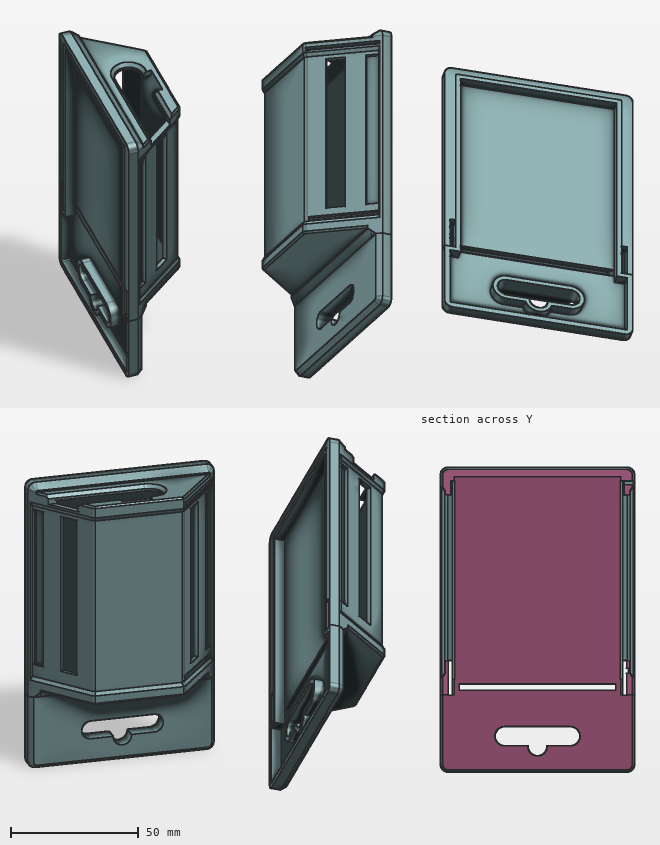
import cadquery as cq
import math


PLATE_WIDTH = 76.0
PLATE_HEIGHT = 119.4
PLATE_CORNER_RADIUS = 3.1
PLATE_EDGE = 3.9
PLATE_THICKNESS = 7.0
WALL = 1.9

BOX_DEPTH = 29.0
BOX_REAR_HALF = 18.5
BOX_BOTTOM = 33.3
BOX_TOP = 116.3
EDGE_CHAMFER = 0.7
REAR_CORNER_DEPTH = 0.8
REAR_CORNER_WIDTH = 1.1
CAVITY_BOTTOM = 36.4
CAVITY_TOP = 113.9
SLOPE = (PLATE_WIDTH / 2 - BOX_REAR_HALF) / (BOX_DEPTH - PLATE_EDGE)
NORMAL_LENGTH = math.hypot(1, SLOPE)

WAIST_DEPTH = 0.78
WAIST_CHAMFER = 1.5
WAIST_BOTTOM = 37.1
WAIST_TOP = 111.6
WAIST_FRONT = 4.8
CAVITY_INSET = WAIST_DEPTH + WALL
CAVITY_REAR = BOX_DEPTH - CAVITY_INSET

WINDOW_BOTTOM = 43.7
WINDOW_TOP = 108.5
WINDOW_FRONT = 15.4
WINDOW_REAR = 21.6
POCKET_REAR = 8.8
POCKET_DEPTH = 1.5
UPPER_SLIT_HEIGHT = 1.3
UPPER_SLIT_REAR = 28.2
LOWER_SLIT_BOTTOM = 38.8
LOWER_SLIT_TOP = 39.8
REBATE_TOP = 40.6
REBATE_REAR = 27.0

MOUTH_Y = 17.3
MOUTH_END_X = -7.3
MOUTH_RADIUS = 5.6
MOUTH_CHAMFER = 1.4
MOUTH_FLOOR = 112.6
NOTCH_HALF = 6.1

LID_THICKNESS = 6.1
LID_POCKET = 4.0
LID_BEVEL = LID_THICKNESS - PLATE_EDGE
LID_HALF = 33.4
LID_TOP = 116.6
SHOULDER = 30.2
FOOT_TOP = 32.7
LOWER_RIM = 2.3
LOWER_RIM_CHAMFER = 0.5
INNER_RADIUS = 0.6
STEP_Z = SHOULDER - WALL
LATCH_TOP = 43.7
LATCH_HALF = PLATE_WIDTH / 2 - LOWER_RIM
VENT_BOTTOM = 31.3
VENT_TOP = 34.5

HANGER_Z = 14.1
HANGER_HALF_SPAN = 12.9
HANGER_RADIUS = 3.7
HANGER_NOTCH_Z = 10.1


def block(x0, x1, y0, y1, z0, z1):
    """Box between two opposite corners."""
    return cq.Workplane("XY").box(x1 - x0, y1 - y0, z1 - z0, centered=False).translate((x0, y0, z0))


def front_sketch(y=0.0):
    """Workplane at depth y with axes X and Z; a negative extrusion runs toward the back."""
    return cq.Workplane("XZ", origin=(0, y, 0))


def half_width(y, inset=0.0):
    """Half width of the box at depth y, with the sloped walls moved inward by inset."""
    return PLATE_WIDTH / 2 - SLOPE * (y - PLATE_EDGE) - inset * NORMAL_LENGTH


def trapezoid(inset, y_front):
    """Corner points of the box section, inset from its sloped walls and back, rear corners trimmed."""
    y_rear = BOX_DEPTH - inset
    y_corner = y_rear - REAR_CORNER_DEPTH
    front = half_width(y_front, inset)
    corner = half_width(y_corner, inset)
    rear = corner - REAR_CORNER_WIDTH
    return [
        (-front, y_front), (front, y_front), (corner, y_corner),
        (rear, y_rear), (-rear, y_rear), (-corner, y_corner),
    ]


def prism(inset, y_front, z0, z1):
    """Straight length of box section from z0 to z1."""
    return cq.Workplane("XY", origin=(0, 0, z0)).polyline(trapezoid(inset, y_front)).close().extrude(z1 - z0)


def flare(inset_low, inset_high, y_front, z0, z1):
    """Transition between two box sections."""
    return (
        cq.Workplane("XY", origin=(0, 0, z0))
        .polyline(trapezoid(inset_low, y_front)).close()
        .workplane(offset=z1 - z0)
        .polyline(trapezoid(inset_high, y_front)).close()
        .loft(ruled=True)
    )


def waisted_prism():
    """Outer shape of the box, with the waist between its end flanges."""
    low = WAIST_BOTTOM + WAIST_CHAMFER
    high = WAIST_TOP - WAIST_CHAMFER
    return (
        prism(0, PLATE_EDGE, BOX_BOTTOM, WAIST_BOTTOM)
        .union(flare(0, WAIST_DEPTH, PLATE_EDGE, WAIST_BOTTOM, low))
        .union(prism(WAIST_DEPTH, PLATE_EDGE, low, high))
        .union(flare(WAIST_DEPTH, 0, PLATE_EDGE, high, WAIST_TOP))
        .union(prism(0, PLATE_EDGE, WAIST_TOP, BOX_TOP))
    )


def plate(thickness):
    """Full rounded plate whose rear part tapers with the slope of the box walls."""
    outline = cq.Sketch().rect(PLATE_WIDTH, PLATE_HEIGHT).vertices().fillet(PLATE_CORNER_RADIUS)
    facing_back = cq.Plane(origin=(0, 0, PLATE_HEIGHT / 2), xDir=(1, 0, 0), normal=(0, 1, 0))
    edge = cq.Workplane(facing_back).placeSketch(outline).extrude(PLATE_EDGE)
    taper_angle = math.degrees(math.atan(SLOPE))
    back = (
        cq.Workplane(facing_back).workplane(offset=PLATE_EDGE).placeSketch(outline)
        .extrude(thickness - PLATE_EDGE, taper=taper_angle)
    )
    return edge.union(back)


def lid_insert():
    """Upper part of the lid, also the shape of its seat in the housing."""
    insert = block(-LID_HALF, LID_HALF, 0, LID_THICKNESS, SHOULDER, LID_TOP)
    rounded = insert.edges("|Y and >Z").fillet(INNER_RADIUS)
    return insert.faces(">Y").edges("<X or >X or >Z").chamfer(LID_BEVEL).intersect(rounded)


def both_sides(cutter):
    """The cutter together with its mirror image across the middle of the part."""
    return cutter.union(cutter.mirror("YZ"))


def wall_cutter(y_front, y_rear, z0, z1, depth):
    """Cut square to the +X waist wall, from y_front to y_rear on its outer face."""
    normal_x = 1 / NORMAL_LENGTH
    normal_y = SLOPE / NORMAL_LENGTH
    points = []
    for y, reach in ((y_front, WALL), (y_rear, WALL), (y_rear, -depth), (y_front, -depth)):
        points.append((half_width(y, WAIST_DEPTH) + reach * normal_x, y + reach * normal_y))
    return cq.Workplane("XY", origin=(0, 0, z0)).polyline(points).close().extrude(z1 - z0)


def mouth_outline(plane, radius):
    """Slot with one round end that runs out through the +X wall."""
    far = PLATE_WIDTH / 2
    return (
        plane.moveTo(far, MOUTH_Y + radius)
        .lineTo(MOUTH_END_X, MOUTH_Y + radius)
        .threePointArc((MOUTH_END_X - radius, MOUTH_Y), (MOUTH_END_X, MOUTH_Y - radius))
        .lineTo(far, MOUTH_Y - radius)
        .close()
    )


def mouth():
    """Top opening: chamfered slot plus a straight notch toward the back."""
    slot = mouth_outline(cq.Workplane("XY", origin=(0, 0, MOUTH_FLOOR)), MOUTH_RADIUS)
    slot = slot.extrude(BOX_TOP - MOUTH_FLOOR)
    rim = mouth_outline(cq.Workplane("XY", origin=(0, 0, BOX_TOP - MOUTH_CHAMFER)), MOUTH_RADIUS)
    rim = mouth_outline(rim.workplane(offset=MOUTH_CHAMFER), MOUTH_RADIUS + MOUTH_CHAMFER).loft(ruled=True)
    notch = block(-NOTCH_HALF, NOTCH_HALF, MOUTH_Y, CAVITY_REAR, CAVITY_TOP - WALL, BOX_TOP)
    return slot.union(rim).union(notch)


def latch_slots():
    """Slots beside the lid, closed at the back by the slope of the box wall."""
    inner_wall_front = half_width(0, WALL)
    points = [
        (LID_HALF, 0),
        (LATCH_HALF, 0),
        (LATCH_HALF, (inner_wall_front - LATCH_HALF) / SLOPE),
        (LID_HALF, (inner_wall_front - LID_HALF) / SLOPE),
    ]
    slot = cq.Workplane("XY", origin=(0, 0, SHOULDER)).polyline(points).close().extrude(LATCH_TOP - SHOULDER)
    return both_sides(slot)


def wall_slit(y_rear, z0, z1):
    """Narrow slit through the -X sloped wall, as far as the rear corner of the cavity."""
    x_inner = half_width(CAVITY_REAR, CAVITY_INSET)
    return block(-PLATE_WIDTH / 2, -x_inner, WAIST_FRONT, y_rear, z0, z1)


def foot():
    """Sloped foot joining the lower flange to the plate."""
    y_top = LID_THICKNESS + FOOT_TOP - SHOULDER
    points = [
        (PLATE_EDGE, SHOULDER),
        (LID_THICKNESS, SHOULDER),
        (y_top, FOOT_TOP),
        (y_top, BOX_BOTTOM + EDGE_CHAMFER),
        (PLATE_EDGE, BOX_BOTTOM + EDGE_CHAMFER),
    ]
    profile = cq.Workplane("YZ", origin=(-PLATE_WIDTH / 2, 0, 0)).polyline(points).close()
    return profile.extrude(PLATE_WIDTH).intersect(prism(0, PLATE_EDGE, SHOULDER, BOX_TOP))


def housing_shell():
    """Upper part of the plate with the waisted box on its back."""
    box = prism(0, PLATE_EDGE, BOX_BOTTOM, BOX_TOP)
    box = box.faces("<Z or >Z").edges("not <Y").chamfer(EDGE_CHAMFER)
    upper = block(-PLATE_WIDTH, PLATE_WIDTH, 0, BOX_DEPTH, BOX_BOTTOM, PLATE_HEIGHT)
    lower = block(-PLATE_WIDTH, PLATE_WIDTH, 0, LID_THICKNESS, SHOULDER, BOX_BOTTOM)
    body = plate(PLATE_THICKNESS).intersect(upper.union(lower)).union(box).union(foot())
    around = block(-PLATE_WIDTH, PLATE_WIDTH, WAIST_FRONT, 2 * BOX_DEPTH, CAVITY_BOTTOM, CAVITY_TOP)
    return body.cut(around.cut(waisted_prism()))


def cavity():
    """Sharp-cornered hollow inside the box, open to the lid seat."""
    front = half_width(PLATE_EDGE, CAVITY_INSET)
    rear = half_width(CAVITY_REAR, CAVITY_INSET)
    points = [(-front, PLATE_EDGE), (front, PLATE_EDGE), (rear, CAVITY_REAR), (-rear, CAVITY_REAR)]
    section = cq.Workplane("XY", origin=(0, 0, CAVITY_BOTTOM)).polyline(points).close()
    return section.extrude(CAVITY_TOP - CAVITY_BOTTOM)


def make_housing():
    """Upper plate and hollow box, with the seat for the lid in its front."""
    body = housing_shell().cut(cavity())
    body = body.cut(lid_insert()).cut(latch_slots()).cut(mouth())
    window = wall_cutter(WINDOW_FRONT, WINDOW_REAR, WINDOW_BOTTOM, WINDOW_TOP, 2 * WALL)
    pocket = wall_cutter(WAIST_FRONT, POCKET_REAR, WINDOW_BOTTOM, WINDOW_TOP, POCKET_DEPTH)
    body = body.cut(both_sides(window)).cut(both_sides(pocket))
    rebate = wall_cutter(WAIST_FRONT, REBATE_REAR, LOWER_SLIT_BOTTOM, REBATE_TOP, POCKET_DEPTH)
    body = body.cut(rebate.mirror("YZ"))
    body = body.cut(wall_slit(CAVITY_REAR, LOWER_SLIT_BOTTOM, LOWER_SLIT_TOP))
    return body.cut(wall_slit(UPPER_SLIT_REAR, CAVITY_TOP - UPPER_SLIT_HEIGHT, CAVITY_TOP))


def hanger(radius, depth):
    """Keyhole prism: a wide slot with a round notch under its middle."""
    span = 2 * (HANGER_HALF_SPAN + radius)
    slot = front_sketch().center(0, HANGER_Z).slot2D(span, 2 * radius).extrude(-depth)
    notch = front_sketch().center(0, HANGER_NOTCH_Z).circle(radius).extrude(-depth)
    return slot.union(notch)


def tray_pocket():
    """Shallow pocket in the front of the lid, wider below the shoulders."""
    lower = block(-LATCH_HALF, LATCH_HALF, 0, LID_POCKET, LOWER_RIM, STEP_Z)
    rounded = lower.edges("|Y and <Z").fillet(INNER_RADIUS)
    lower = lower.faces(">Y").edges("<Z").chamfer(LOWER_RIM_CHAMFER).intersect(rounded)
    inner_half = LID_HALF - WALL
    return lower.union(block(-inner_half, inner_half, 0, LID_POCKET, STEP_Z, LID_TOP - WALL))


def vent():
    """Slot across the lid, tapering toward the back at its lower edge and its ends."""
    taper = LID_THICKNESS - LID_POCKET
    half = LID_HALF - WALL
    height = VENT_TOP - VENT_BOTTOM
    rear_height = height - taper
    return (
        front_sketch(LID_POCKET).center(0, VENT_TOP - height / 2).rect(2 * half, height)
        .workplane(offset=-taper).center(0, taper / 2).rect(2 * (half - taper), rear_height)
        .loft(ruled=True)
    )


def make_lid():
    """Tray that fills the housing front and continues below it with the keyhole hanger."""
    below = block(-PLATE_WIDTH, PLATE_WIDTH, 0, LID_THICKNESS, 0, SHOULDER)
    body = plate(LID_THICKNESS).intersect(below).union(lid_insert())
    body = body.cut(tray_pocket()).cut(vent())
    body = body.union(hanger(HANGER_RADIUS + WALL, LID_THICKNESS))
    return body.cut(hanger(HANGER_RADIUS, LID_THICKNESS))


housing = make_housing()
lid = make_lid()
result = cq.Compound.makeCompound([housing.val(), lid.val()])